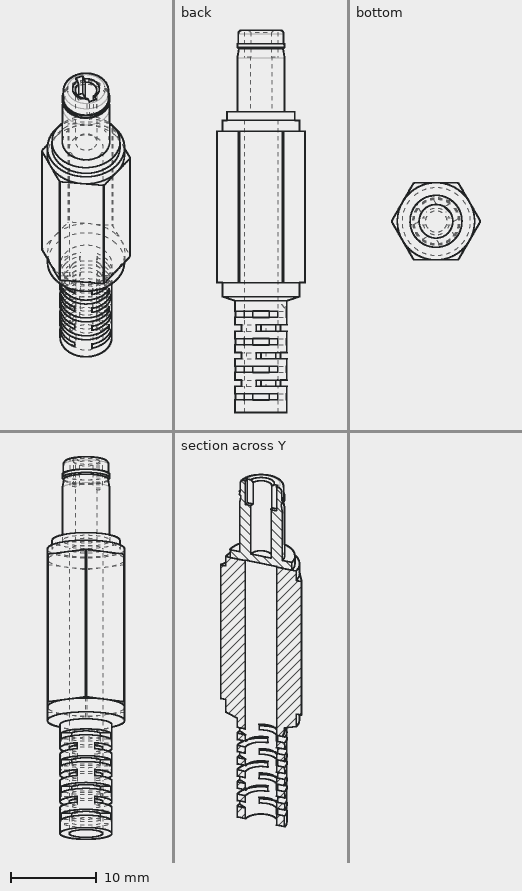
import cadquery as cq
import math

cone_bottom = 13.0
cone_top = 13.5
hex_bottom = 15.15
hex_top = 32.75
boot_top = 34.0
flange_top = 35.0
tip_top = 44.5

across_flats = 9.0
across_corners = across_flats / math.cos(math.pi / 6)
hex_corner_chamfer = 0.1
collar_radius = across_flats / 2
tail_radius = 3.03
cable_bore_radius = 1.95

slot_levels = 7
slot_pitch = 1.6
slot_height = 0.7
first_slot_bottom = 1.45
slot_web = 2.0
first_slot_angle = -30

flange_radius = 3.95
barrel_radius = 2.75
tip_radius = 2.648
tip_fillet = 0.45
ring_top = 42.9
ring_bottom = 42.5
groove_level = 42.3
groove_radius = 2.6
barrel_top = 41.3
contact_bore_radius = 1.25
bore_mouth_radius = 1.55
bore_mouth_depth = 0.25
key_slot_length = 3.9
key_slot_width = 0.85
key_slot_depth = 3.1


def make_disc(radius, bottom, top):
    """Round section on the axis between two levels."""
    return cq.Workplane("XY").workplane(offset=bottom).circle(radius).extrude(top - bottom)


def make_hex_grip():
    """Hexagonal grip with corners on the X axis and chamfered long edges."""
    grip = (
        cq.Workplane("XY")
        .workplane(offset=hex_bottom)
        .polygon(6, across_corners)
        .extrude(hex_top - hex_bottom)
    )
    return grip.edges("|Z").chamfer(hex_corner_chamfer)


def make_boot_core():
    """Turned shape of the boot: tail, cone and the collar diameter."""
    outline = [
        (0, 0),
        (tail_radius, 0),
        (tail_radius, cone_bottom),
        (collar_radius, cone_top),
        (collar_radius, boot_top),
        (0, boot_top),
    ]
    return cq.Workplane("XZ").polyline(outline).close().revolve(360, (0, 0), (0, 1))


def make_relief_slots(level):
    """Two opposite chord cuts at one level, leaving a straight web across the tail wall."""
    bottom = first_slot_bottom + level * slot_pitch
    disc = make_disc(2 * tail_radius, bottom, bottom + slot_height)
    web = (
        cq.Workplane("XY")
        .workplane(offset=bottom)
        .rect(4 * tail_radius, slot_web)
        .extrude(slot_height)
    )
    angle = first_slot_angle + 90 * (level % 2)
    return disc.cut(web).rotate((0, 0, 0), (0, 0, 1), angle)


def make_boot():
    """Hollow boot whose cable bore is closed at the top by the plug."""
    boot = make_boot_core().union(make_hex_grip())
    boot = boot.cut(make_disc(cable_bore_radius, 0, boot_top))
    for level in range(slot_levels):
        boot = boot.cut(make_relief_slots(level))
    return boot


def make_plug_blank():
    """Turned outside of the plug: flange, barrel, latch groove, ring and rounded tip."""
    return (
        cq.Workplane("XZ")
        .moveTo(0, boot_top)
        .lineTo(flange_radius, boot_top)
        .lineTo(flange_radius, flange_top)
        .lineTo(barrel_radius, flange_top)
        .lineTo(barrel_radius, barrel_top)
        .lineTo(groove_radius, groove_level)
        .lineTo(barrel_radius, ring_bottom)
        .lineTo(barrel_radius, ring_top)
        .lineTo(tip_radius, ring_top)
        .lineTo(tip_radius, tip_top - tip_fillet)
        .radiusArc((tip_radius - tip_fillet, tip_top), -tip_fillet)
        .lineTo(0, tip_top)
        .close()
        .revolve(360, (0, 0), (0, 1))
    )


def make_contact_bore():
    """Blind bore with a flared mouth, reaching down to the flange."""
    outline = [
        (0, flange_top),
        (contact_bore_radius, flange_top),
        (contact_bore_radius, tip_top - bore_mouth_depth),
        (bore_mouth_radius, tip_top),
        (0, tip_top),
    ]
    return cq.Workplane("XZ").polyline(outline).close().revolve(360, (0, 0), (0, 1))


def make_key_slot():
    """Slot across the bore along X, shallower than the bore."""
    return (
        cq.Workplane("XY")
        .workplane(offset=tip_top)
        .rect(key_slot_length, key_slot_width)
        .extrude(-key_slot_depth)
    )


def make_plug():
    """Barrel plug standing on the top of the boot."""
    return make_plug_blank().cut(make_contact_bore()).cut(make_key_slot())


boot = make_boot()
plug = make_plug()
result = cq.Compound.makeCompound([boot.val(), plug.val()])